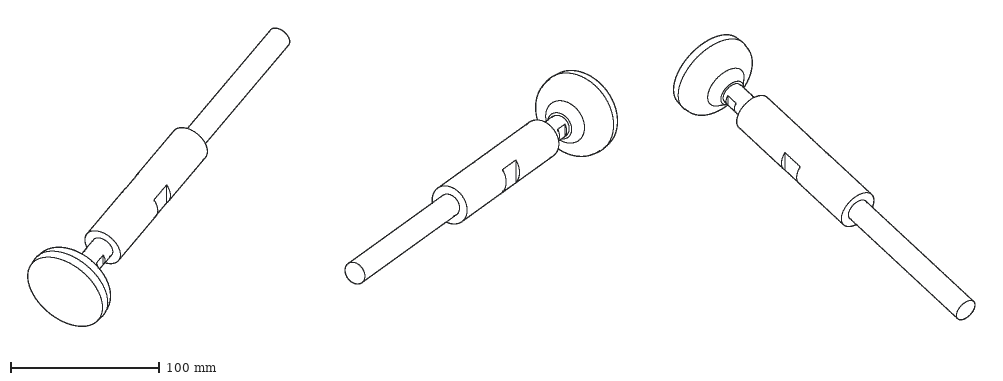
import cadquery as cq

overall_length = 283.0

foot_radius = 30.0
foot_face_radius = 29.5
foot_bead_y = 6.0
foot_shoulder_y = 8.5
foot_shoulder_radius = 29.5
shoulder_arc_radius = 6.8
flare_outer_y = 15.3
flare_outer_radius = 25.0
flare_inner_y = 19.8
flare_inner_radius = 15.5
foot_top_y = 26.5
foot_top_radius = 9.5

spindle_radius = 8.0
spindle_collar_y = 28.0
spindle_tip_radius = 7.5
spindle_flat_start = 30.3
spindle_flat_end = 39.3
spindle_across_flats = 13.0

sleeve_radius = 14.0
sleeve_start = 49.5
sleeve_end = 164.5
sleeve_flat_start = 98.8
sleeve_flat_end = 115.5
sleeve_across_flats = 22.0


def cylinder(radius, start, end):
    """Cylinder on the Y axis between two Y positions."""
    return cq.Workplane("XZ", origin=(0, start, 0)).circle(radius).extrude(start - end)


def cut_wrench_flats(body, radius, across_flats, start, end):
    """Cut a pair of opposite flats, facing -X and +X, into a round body."""
    depth = radius - across_flats / 2
    for side in (-1, 1):
        cutter = cq.Workplane("XY").box(2 * depth, end - start, 2 * radius)
        body = body.cut(cutter.translate((side * (across_flats / 2 + depth), (start + end) / 2, 0)))
    return body


def make_foot():
    """Solid swivel foot: beaded rim, rounded shoulder, flare and cone."""
    profile = (
        cq.Workplane("XY")
        .lineTo(foot_face_radius, 0)
        .lineTo(foot_radius, foot_bead_y)
        .lineTo(foot_shoulder_radius, foot_shoulder_y)
        .radiusArc((flare_outer_radius, flare_outer_y), -shoulder_arc_radius)
        .lineTo(flare_inner_radius, flare_inner_y)
        .lineTo(foot_top_radius, foot_top_y)
        .lineTo(0, foot_top_y)
        .close()
    )
    return profile.revolve(360, (0, 0), (0, 1))


def make_spindle():
    """Rod from the foot through the sleeve, with a tapered tip and wrench flats."""
    profile = (
        cq.Workplane("XY")
        .moveTo(0, foot_top_y)
        .lineTo(spindle_tip_radius, foot_top_y)
        .lineTo(spindle_radius, spindle_collar_y)
        .lineTo(spindle_radius, overall_length)
        .lineTo(0, overall_length)
        .close()
    )
    rod = profile.revolve(360, (0, 0), (0, 1))
    return cut_wrench_flats(
        rod, spindle_radius, spindle_across_flats, spindle_flat_start, spindle_flat_end
    )


def make_sleeve():
    """Round sleeve bored to fit the spindle, with wrench flats at mid-length."""
    tube = cylinder(sleeve_radius, sleeve_start, sleeve_end)
    tube = tube.cut(cylinder(spindle_radius, sleeve_start, sleeve_end))
    return cut_wrench_flats(
        tube, sleeve_radius, sleeve_across_flats, sleeve_flat_start, sleeve_flat_end
    )


foot = make_foot()
spindle = make_spindle()
sleeve = make_sleeve()
result = cq.Compound.makeCompound([foot.val(), spindle.val(), sleeve.val()])